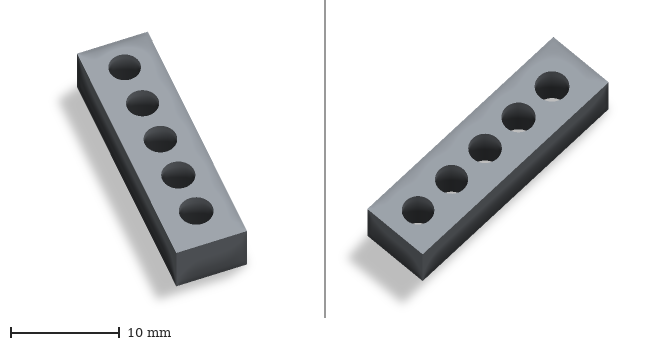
import cadquery as cq

length = 25
width = 7
height = 5

hole_count = 5
smallest_diameter = 3
diameter_step = 0.05
hole_pitch = 4.5
first_hole_from_end = 3.1


def block():
    """Plain block centred on X and Y, standing on Z = 0."""
    return cq.Workplane("XY").box(length, width, height, centered=(True, True, False))


def hole_cutter(index):
    """Vertical cylinder for one hole, counted from the -X end."""
    x = -length / 2 + first_hole_from_end + index * hole_pitch
    diameter = smallest_diameter + index * diameter_step
    return cq.Workplane("XY").center(x, 0).circle(diameter / 2).extrude(height)


result = block()
for index in range(hole_count):
    result = result.cut(hole_cutter(index))